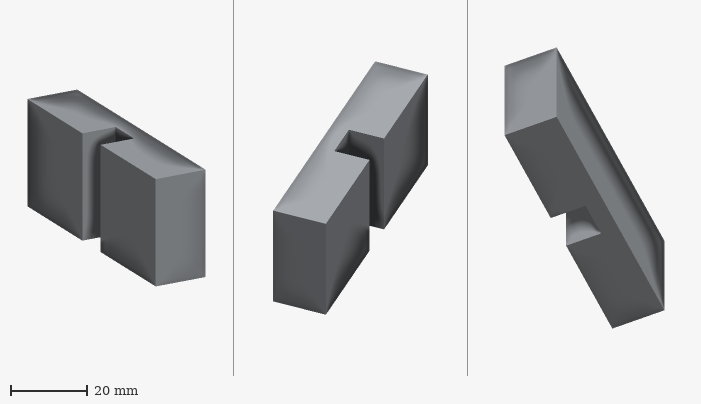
import cadquery as cq

length = 70.0
depth = 15.0
height = 30.0

slot_width = 10.0
slot_depth = slot_width

block = cq.Workplane("XY").box(length, depth, height)

slot_center_y = (slot_depth - depth) / 2
slot = (
    cq.Workplane("XY")
    .box(slot_width, slot_depth, height)
    .translate((0, slot_center_y, 0))
)

result = block.cut(slot)